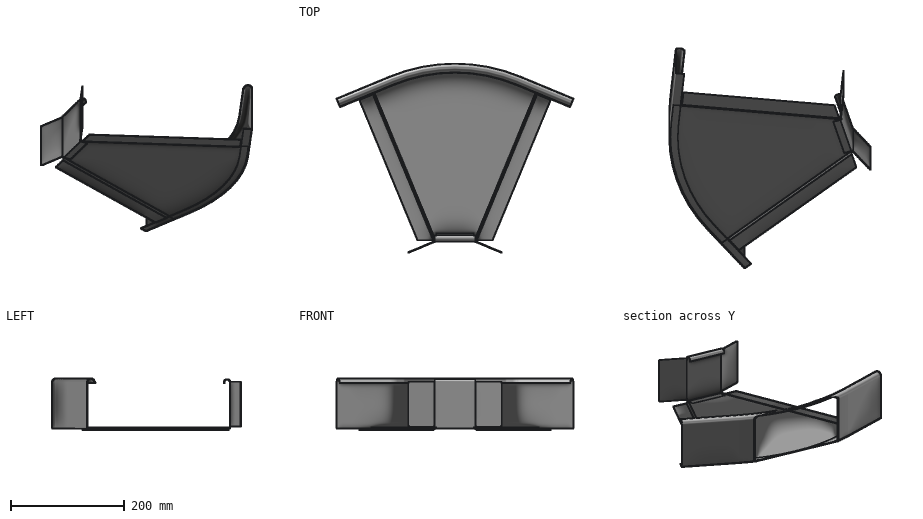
import cadquery as cq
import math


sheet = 1.25
half_angle = 22.5
half_inner_wall = 36.0
outer_radius = 300.3
outer_straight = 102.25
total_height = 91.75
lip_drop = 2.4
foot_bend = 2.5
lip_width = 15.5

outer_curl_radius = 7.5
outer_curl_tail = 5.0
outer_curl_end_angle = 30
inner_curl_radius = 5.75
inner_curl_tail = 2.0
inner_curl_end_angle = 0
inner_rail_step = 1.5
inner_lip_setback = 2.5

tab_length = 50.0
tab_bottom = 6.25
tab_top = 85.75
tab_corner = 2.5

floor_edge_inset = 2.25
joggle_run = 3.5
flange_reach = 27.0
flange_inner_gap = 3.0
flange_outer_gap = 17.5

sin_a = math.sin(math.radians(half_angle))
cos_a = math.cos(math.radians(half_angle))
bend_center_y = half_inner_wall * math.tan(math.radians(half_angle))
fold_offset = half_inner_wall / cos_a
floor_underside = lip_drop + sheet
floor_edge = fold_offset - floor_edge_inset


def end_point(along, radius):
    """Plan point on the +X side: distance along its straight, at a radius square to it."""
    return (radius * sin_a + along * cos_a, bend_center_y + radius * cos_a - along * sin_a)


def end_plane(along, radius):
    """Plane square to the +X straight: local x points to the tray inside, local y up."""
    x, y = end_point(along, radius)
    return cq.Plane(origin=(x, y, 0), xDir=(-sin_a, -cos_a, 0), normal=(-cos_a, sin_a, 0))


def mirrored_pair(solid):
    return solid.union(solid.mirror("YZ"))


def lip_section(plane):
    """Foot bend and lip, ending where the bend meets the wall."""
    inside = foot_bend - sheet
    corner = math.sqrt(0.5)
    bend_top = lip_drop + foot_bend
    return (
        cq.Workplane(plane)
        .moveTo(lip_width, lip_drop)
        .lineTo(foot_bend, lip_drop)
        .threePointArc((foot_bend * (1 - corner), bend_top - foot_bend * corner), (0, bend_top))
        .lineTo(sheet, bend_top)
        .threePointArc(
            (foot_bend - inside * corner, bend_top - inside * corner),
            (foot_bend, floor_underside),
        )
        .lineTo(lip_width, floor_underside)
        .close()
    )


def wall_section(plane, top, curl_radius, end_angle, tail):
    """Wall with its inward curl and the straight tail of the curl."""
    angle = math.radians(end_angle)
    middle = (math.pi + angle) / 2
    center_z = top - curl_radius
    inside = curl_radius - sheet

    def on_curl(radius, at):
        return (curl_radius + radius * math.cos(at), center_z + radius * math.sin(at))

    def tail_end(radius):
        x, z = on_curl(radius, angle)
        return (x + tail * math.sin(angle), z - tail * math.cos(angle))

    return (
        cq.Workplane(plane)
        .moveTo(0, lip_drop + foot_bend)
        .lineTo(0, center_z)
        .threePointArc(on_curl(curl_radius, middle), on_curl(curl_radius, angle))
        .lineTo(*tail_end(curl_radius))
        .lineTo(*tail_end(inside))
        .lineTo(*on_curl(inside, angle))
        .threePointArc(on_curl(inside, middle), (sheet, center_z))
        .lineTo(sheet, lip_drop + foot_bend)
        .close()
    )


def outer_section():
    plane = end_plane(0, outer_radius)
    return (
        wall_section(plane, total_height, outer_curl_radius, outer_curl_end_angle, outer_curl_tail),
        lip_section(plane),
    )


def make_outer_rail():
    straight_wall, straight_lip = (s.extrude(-outer_straight) for s in outer_section())
    straight = straight_wall.union(straight_lip)
    axis_start = (outer_radius, 0, 0)
    axis_end = (outer_radius, 1, 0)
    arc_wall, arc_lip = (s.revolve(2 * half_angle, axis_start, axis_end) for s in outer_section())
    return mirrored_pair(straight).union(arc_wall).union(arc_lip)


def make_tab():
    miter = sheet * math.tan(math.radians(half_angle / 2))
    tip_x = half_inner_wall + tab_length * cos_a
    tip_y = -tab_length * sin_a
    bent_strip = (
        cq.Workplane("XY")
        .moveTo(half_inner_wall, 0)
        .lineTo(tip_x, tip_y)
        .lineTo(tip_x + sheet * sin_a, tip_y + sheet * cos_a)
        .lineTo(half_inner_wall + miter, sheet)
        .lineTo(half_inner_wall, sheet)
        .close()
        .extrude(total_height)
    )
    plane = cq.Plane(origin=(half_inner_wall, 0, 0), xDir=(cos_a, -sin_a, 0), normal=(-sin_a, -cos_a, 0))
    fold_side = -sheet * sin_a
    length = tab_length - fold_side
    height = tab_top - tab_bottom
    rounded_outline = (
        cq.Workplane(plane)
        .center(fold_side + length / 2, tab_bottom + height / 2)
        .sketch()
        .rect(length, height)
        .vertices()
        .fillet(tab_corner)
        .finalize()
        .extrude(2 * sheet, both=True)
    )
    return bent_strip.intersect(rounded_outline)


def make_inner_rail():
    section_plane = cq.Plane(origin=(0, 0, 0), xDir=(0, 1, 0), normal=(1, 0, 0))
    top = total_height - inner_rail_step
    wall = wall_section(section_plane, top, inner_curl_radius, inner_curl_end_angle, inner_curl_tail)
    wall = wall.extrude(half_inner_wall, both=True)
    lip = lip_section(section_plane).extrude(half_inner_wall - inner_lip_setback, both=True)
    return wall.union(lip).union(mirrored_pair(make_tab()))


def make_floor_plate():
    radius = outer_radius - foot_bend
    arc_end = end_point(0, radius)
    outer_corner = end_point(floor_edge, radius)
    inner_corner_x = outer_corner[0] - (outer_corner[1] - foot_bend) * sin_a / cos_a
    return (
        cq.Workplane("XY", origin=(0, 0, floor_underside))
        .moveTo(inner_corner_x, foot_bend)
        .lineTo(*outer_corner)
        .lineTo(*arc_end)
        .threePointArc((0, bend_center_y + radius), (-arc_end[0], arc_end[1]))
        .lineTo(-outer_corner[0], outer_corner[1])
        .lineTo(-inner_corner_x, foot_bend)
        .close()
        .extrude(sheet)
    )


def make_flange():
    """Joggle and flange on the +X side, cut parallel to both rails."""
    radius = outer_radius - flange_outer_gap
    x, y = end_point(0, radius)
    plane = cq.Plane(origin=(x, y, 0), xDir=(cos_a, -sin_a, 0), normal=(-sin_a, -cos_a, 0))
    root = floor_edge - joggle_run
    foot = floor_edge + joggle_run
    tip = fold_offset + flange_reach
    miter = sheet * math.tan(math.atan2(floor_underside, joggle_run) / 2)
    blank = (
        cq.Workplane(plane)
        .polyline([
            (root, floor_underside + sheet),
            (floor_edge, floor_underside + sheet),
            (foot, sheet),
            (tip, sheet),
            (tip, 0),
            (foot - miter, 0),
            (floor_edge - miter, floor_underside),
            (root, floor_underside),
        ])
        .close()
        .extrude(outer_radius + tip)
    )
    keep_zone = cq.Workplane("XY").box(
        outer_radius, outer_radius, total_height, centered=(False, False, True)
    )
    return blank.intersect(keep_zone.translate((0, flange_inner_gap, 0)))


def make_floor():
    return make_floor_plate().union(mirrored_pair(make_flange()))


outer_rail = make_outer_rail()
inner_rail = make_inner_rail()
floor = make_floor()

result = cq.Compound.makeCompound([outer_rail.val(), inner_rail.val(), floor.val()])